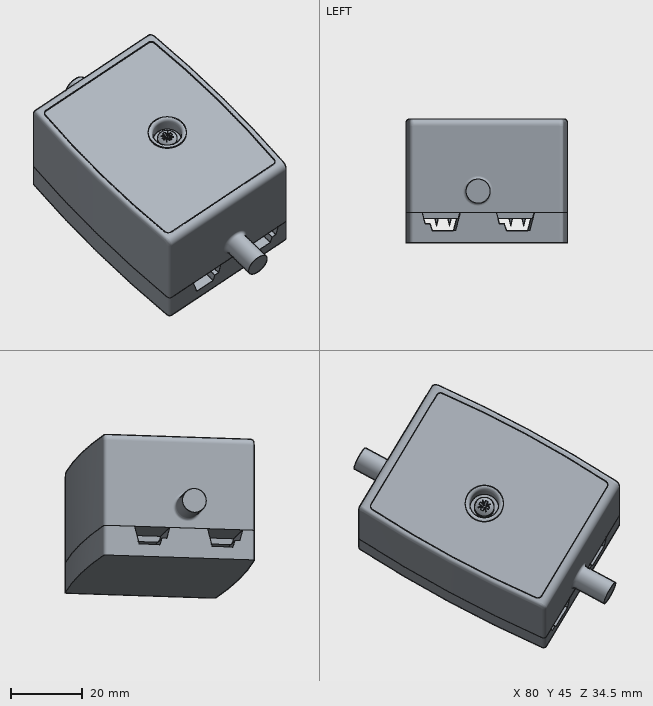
import cadquery as cq

BODY_LENGTH = 60.0
BODY_WIDTH = 45.0
BODY_HEIGHT = 34.5
SIDE_BULGE = 1.2
SEAM_Z = 8.4
END_RADIUS = 2.0
EDGE_RADIUS = END_RADIUS / 2

CABLE_Y = 2.4
SCREW_Y = 2.7

LABEL_MARGIN = 0.7
LABEL_DEPTH = 0.4
LABEL_CORNER_RADIUS = 1.2

WELL_RING_DIAMETER = 10.6
WELL_DIAMETER = 8.0
WELL_LIP_RADIUS = 1.0
WELL_DEPTH = 4.0

TOTAL_LENGTH = 80.0
STUB_DIAMETER = 6.7
STUB_Z = 14.4
STUB_FLARE = 0.8

GROOVE_SPACING = 20.6
GROOVE_FLOOR_Z = 3.4
GROOVE_LEDGE_Z = 5.4
GROOVE_TOP_LEFT = 5.2
GROOVE_LEDGE_OUTER = 4.4
GROOVE_LEDGE_INNER = 3.0
GROOVE_FLOOR_LEFT = 2.4
GROOVE_FLOOR_RIGHT = -4.1
GROOVE_TOP_RIGHT = -5.4
GROOVE_TAPER = 0.6

TONGUE_LENGTH = 32.0
TONGUE_HEIGHT = 1.7
PIN_SPACING = 3.6
PIN_OFFSET = -0.6
PIN_DIAMETER = 1.0
PIN_LENGTH = 2.0

SCREW_HEAD_DIAMETER = 5.5
SCREW_EDGE_HEIGHT = 1.1
SCREW_DOME_HEIGHT = 1.2
CROSS_SPAN = 3.7
CROSS_WIDTH = 0.8
CROSS_DEPTH = 1.4
TICK_SPAN = 3.5
TICK_WIDTH = 0.2
TICK_DEPTH = 0.6

WELL_FLOOR_Z = BODY_HEIGHT - WELL_DEPTH
TONGUE_Z = SEAM_Z - TONGUE_HEIGHT
GROOVE_CENTRES = [CABLE_Y + side * GROOVE_SPACING / 2 for side in (-1, 1)]


def bulged_outline(z, end_inset=0.0, side_inset=0.0):
    """Rectangle whose two long sides are arcs, shrunk by the given insets."""
    x = BODY_LENGTH / 2 - end_inset
    crown_y = BODY_WIDTH / 2 - side_inset
    corner_y = crown_y - SIDE_BULGE
    return (
        cq.Workplane("XY", origin=(0, 0, z))
        .moveTo(-x, -corner_y)
        .threePointArc((0, -crown_y), (x, -corner_y))
        .lineTo(x, corner_y)
        .threePointArc((0, crown_y), (-x, corner_y))
        .close()
    )


def groove(centre_y):
    """Keyed cable groove whose -Y wall closes in slightly towards +X."""

    def section(plane, narrowing):
        return plane.polyline([
            (centre_y + GROOVE_TOP_LEFT, SEAM_Z),
            (centre_y + GROOVE_LEDGE_OUTER, GROOVE_LEDGE_Z),
            (centre_y + GROOVE_LEDGE_INNER, GROOVE_LEDGE_Z),
            (centre_y + GROOVE_FLOOR_LEFT, GROOVE_FLOOR_Z),
            (centre_y + GROOVE_FLOOR_RIGHT + narrowing, GROOVE_FLOOR_Z),
            (centre_y + GROOVE_TOP_RIGHT + narrowing, SEAM_Z),
        ]).close()

    entry = section(cq.Workplane("YZ", origin=(-BODY_LENGTH / 2, 0, 0)), 0)
    return section(entry.workplane(offset=BODY_LENGTH), GROOVE_TAPER).loft(ruled=True, combine=True)


def contact_pin(y):
    """Pointed pin hanging from a tongue."""
    return (
        cq.Workplane("XZ", origin=(0, y, 0))
        .moveTo(0, TONGUE_Z)
        .lineTo(PIN_DIAMETER / 2, TONGUE_Z)
        .lineTo(0, TONGUE_Z - PIN_LENGTH)
        .close()
        .revolve(360, (0, 0, 0), (0, 1, 0))
    )


def cable_stub(side):
    """Round cable stub with a concave flare where it leaves the end wall."""
    radius = STUB_DIAMETER / 2
    wall_x = side * BODY_LENGTH / 2
    flare_x = wall_x + side * STUB_FLARE
    arc_offset = STUB_FLARE * (1 - 0.5 ** 0.5)
    return (
        cq.Workplane("XY", origin=(0, CABLE_Y, STUB_Z))
        .moveTo(wall_x, 0)
        .lineTo(wall_x, radius + STUB_FLARE)
        .threePointArc((wall_x + side * arc_offset, radius + arc_offset), (flare_x, radius))
        .lineTo(side * TOTAL_LENGTH / 2, radius)
        .lineTo(side * TOTAL_LENGTH / 2, 0)
        .close()
        .revolve(360, (0, 0, 0), (1, 0, 0))
    )


def make_base():
    base = bulged_outline(0).extrude(SEAM_Z).edges("|Z").fillet(EDGE_RADIUS)
    for centre_y in GROOVE_CENTRES:
        base = base.cut(groove(centre_y))
    return base


def make_cover():
    cover = bulged_outline(SEAM_Z).extrude(BODY_HEIGHT - SEAM_Z)
    cover = cover.faces(">Z").edges("<X or >X").fillet(END_RADIUS)
    cover = cover.faces("<Y or >Y").edges("not <Z").fillet(EDGE_RADIUS)

    well_plane = cq.Workplane("XY", origin=(0, SCREW_Y, WELL_FLOOR_Z))
    cover = cover.cut(well_plane.circle(WELL_DIAMETER / 2).extrude(WELL_DEPTH))
    lip = cq.selectors.RadiusNthSelector(0)
    cover = cover.faces(">Z").edges("%CIRCLE").edges(lip).fillet(WELL_LIP_RADIUS)

    recess = (
        bulged_outline(BODY_HEIGHT - LABEL_DEPTH, END_RADIUS + LABEL_MARGIN, EDGE_RADIUS + LABEL_MARGIN)
        .extrude(LABEL_DEPTH)
        .edges("|Z")
        .fillet(LABEL_CORNER_RADIUS)
    )
    cover = cover.cut(recess.cut(well_plane.circle(WELL_RING_DIAMETER / 2).extrude(WELL_DEPTH)))

    for side in (-1, 1):
        cover = cover.union(cable_stub(side))

    tongue_zone = cq.Workplane("XY", origin=(0, 0, TONGUE_Z)).box(
        TONGUE_LENGTH, BODY_WIDTH, TONGUE_HEIGHT, centered=(True, True, False)
    )
    for centre_y in GROOVE_CENTRES:
        cover = cover.union(groove(centre_y).intersect(tongue_zone))
        for pin_side in (-1, 1):
            cover = cover.union(contact_pin(centre_y + PIN_OFFSET + pin_side * PIN_SPACING / 2))
    return cover


def cross_arm():
    """Half of the cross recess: a slot along X whose ends slope down to a square centre."""
    return (
        cq.Workplane("XZ")
        .moveTo(-CROSS_SPAN / 2, 0)
        .lineTo(CROSS_SPAN / 2, 0)
        .lineTo(CROSS_WIDTH / 2, -CROSS_DEPTH)
        .lineTo(-CROSS_WIDTH / 2, -CROSS_DEPTH)
        .close()
        .extrude(CROSS_WIDTH / 2, both=True)
    )


def make_screw():
    """Domed screw head with a cross recess and diagonal tick marks, resting on the well floor."""
    head_radius = SCREW_HEAD_DIAMETER / 2
    dome_radius = (head_radius ** 2 + SCREW_DOME_HEIGHT ** 2) / (2 * SCREW_DOME_HEIGHT)
    head_height = SCREW_EDGE_HEIGHT + SCREW_DOME_HEIGHT
    head = cq.Workplane("XY").circle(head_radius).extrude(-head_height)
    head = head.intersect(cq.Workplane("XY", origin=(0, 0, -dome_radius)).sphere(dome_radius))

    tick = cq.Workplane("XY").box(TICK_SPAN, TICK_WIDTH, 2 * TICK_DEPTH)
    for angle in (0, 90):
        head = head.cut(cross_arm().rotate((0, 0, 0), (0, 0, 1), angle))
        head = head.cut(tick.rotate((0, 0, 0), (0, 0, 1), angle + 45))
    return head.translate((0, SCREW_Y, WELL_FLOOR_Z + head_height))


base = make_base()
cover = make_cover()
screw = make_screw()

result = cq.Compound.makeCompound([base.val(), cover.val(), screw.val()])